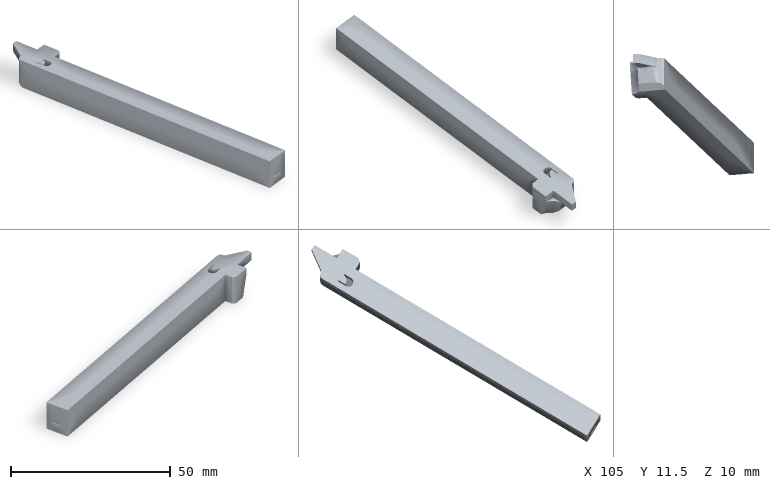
import cadquery as cq

overall_length = 105.0
shank_width = 8.0
height = 10.0
end_pad_thickness = 0.3
body_length = overall_length - end_pad_thickness

head_projection = 3.5
head_front = 8.2
head_back = 15.0
head_chamfer = 0.9
head_side = shank_width + head_projection

blade_height = 3.0
tip_width = 1.7
blade_root_x = 6.0
blade_root_y = 2.1

support_front = 4.9
support_lip_z = -3.75
support_toe_x = 6.0
bottom_chamfer = 2.0
support_toe_z = -(height - bottom_chamfer)
support_arc_start_y = 3.1
corner_x = 7.1
corner_chamfer = 0.8
corner_start_x = corner_x - corner_chamfer

relief_start_x = 5.1
relief_mid = (7.2, 9.4)
relief_end_x = 8.4
relief_slope = (support_toe_x - support_front) / (support_lip_z - support_toe_z)

pocket_width = 3.0
pocket_center_y = 3.35
pocket_end_x = 16.75
pocket_depth = 3.0
pocket_top_start_x = 12.5
pocket_bottom_start_x = 12.3
pocket_bottom_rim = 0.35
pocket_step_x = 14.85
pocket_shoulder = (14.5, 3.6)

pad_y_min = 2.1
pad_y_max = 5.5
pad_z_min = -8.0
pad_z_max = -6.8


def make_holder():
    """Shank, head and support at full height, with the sloping front and the bottom chamfer."""
    plan = (
        cq.Workplane("XY")
        .moveTo(corner_x, 0)
        .lineTo(corner_start_x, corner_chamfer)
        .threePointArc((blade_root_x, blade_root_y), (support_front, support_arc_start_y))
        .lineTo(support_front, head_side)
        .lineTo(head_back - head_chamfer, head_side)
        .lineTo(head_back, head_side - head_chamfer)
        .lineTo(head_back, shank_width)
        .lineTo(body_length, shank_width)
        .lineTo(body_length, 0)
        .close()
        .extrude(-height)
    )
    side_profile = (
        cq.Workplane("XZ")
        .moveTo(blade_root_x, 0)
        .lineTo(blade_root_x, -blade_height)
        .lineTo(support_front, -blade_height)
        .lineTo(support_front, support_lip_z)
        .lineTo(support_toe_x, support_toe_z)
        .lineTo(support_toe_x + bottom_chamfer, -height)
        .lineTo(body_length, -height)
        .lineTo(body_length, 0)
        .close()
        .extrude(-head_side)
    )
    return plan.intersect(side_profile)


def make_head_notch():
    """Cutter that sets the head's front face back beside the blade."""
    notch = cq.Workplane("XY").box(head_front, head_projection, blade_height, centered=False)
    return notch.translate((0, shank_width, -blade_height))


def make_blade():
    """Blade whose slanted flank ends on the concave arc of the support."""
    return (
        cq.Workplane("XY")
        .moveTo(0, shank_width)
        .lineTo(0, shank_width - tip_width)
        .lineTo(blade_root_x, blade_root_y)
        .lineTo(head_front, blade_root_y)
        .lineTo(head_front, shank_width)
        .close()
        .extrude(-blade_height)
    )


def make_relief_cutter():
    """Concave prism leaning back as it goes down, from the top face to the bottom face."""
    shift = -relief_slope * blade_height
    outline = (
        cq.Workplane("XY")
        .moveTo(relief_start_x + shift, shank_width)
        .threePointArc((relief_mid[0] + shift, relief_mid[1]), (relief_end_x + shift, head_side))
        .lineTo(shift, head_side)
        .lineTo(shift, shank_width)
        .close()
        .val()
    )
    sweep = cq.Vector(relief_slope * height, 0, -height)
    return cq.Workplane(obj=cq.Solid.extrudeLinear(outline, [], sweep))


def make_pocket():
    """Round-ended pocket with a flush wedge left standing at its open end."""
    radius = pocket_width / 2
    y_min = pocket_center_y - radius
    y_max = pocket_center_y + radius
    arc_x = pocket_end_x - radius
    return (
        cq.Workplane("XY")
        .moveTo(pocket_bottom_start_x, y_min)
        .lineTo(arc_x, y_min)
        .threePointArc((pocket_end_x, pocket_center_y), (arc_x, y_max))
        .lineTo(pocket_top_start_x, y_max)
        .lineTo(*pocket_shoulder)
        .lineTo(pocket_step_x, pocket_center_y - radius / 2)
        .lineTo(pocket_step_x, y_min + pocket_bottom_rim)
        .lineTo(pocket_bottom_start_x, y_min + pocket_bottom_rim)
        .close()
        .extrude(-pocket_depth)
    )


def make_end_pad():
    """Small raised pad low on the rear face."""
    pad_width = pad_y_max - pad_y_min
    pad_height = pad_z_max - pad_z_min
    pad = cq.Workplane("XY").box(end_pad_thickness, pad_width, pad_height, centered=False)
    return pad.translate((body_length, pad_y_min, pad_z_min))


body = make_holder().cut(make_head_notch()).union(make_blade())
result = body.cut(make_relief_cutter()).cut(make_pocket()).union(make_end_pad())